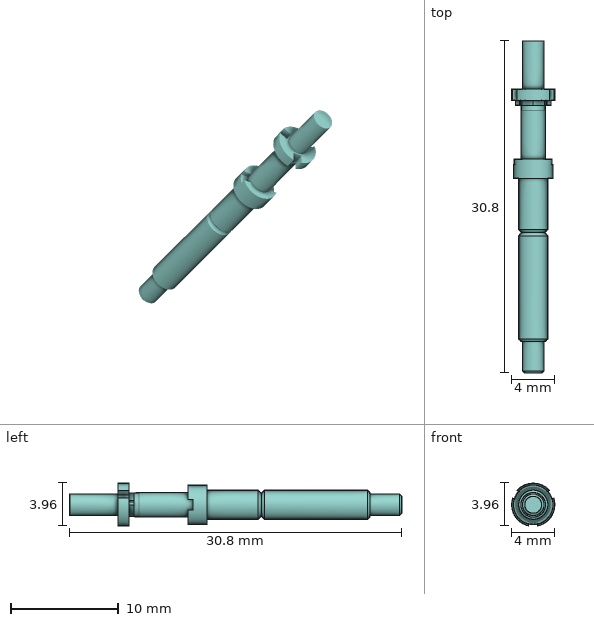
import cadquery as cq

length = 30.8
rod_radius = 2.0 / 2
tip_chamfer = 0.22

flange_rear = 4.47
flange_front = 5.5
flange_radius = 4.0 / 2
slot_width = 0.83
slot_floor = 1.1
slot_angles = (30, 150, 270)

boss_front = 5.98
boss_half_width = 1.65
boss_half_height = 1.1
boss_core_radius = 0.85

neck_front = 6.45
neck_radius = 1.1
shank_radius = 1.15

collar_rear = 10.95
collar_front = 12.75
collar_radius = 3.65 / 2
collar_notch_height = 1.02
collar_notch_depth = 0.5

barrel_front = 27.85
barrel_chamfer = 0.22
barrel_radius = 2.7 / 2
groove_center = 17.77
groove_width = 0.6
groove_depth = 0.28


def y_at(station):
    return length / 2 - station


def point(radius, station):
    """Profile point on the XY plane."""
    return (radius, y_at(station))


def section_at(station):
    """Cross-section plane with local X, Y along X, Z; extrusion runs toward -Y."""
    return cq.Workplane("XZ", origin=(0, y_at(station), 0))


def make_turned_body():
    """All round steps from the rear rod to the chamfered tip."""
    profile = (
        cq.Workplane("XY")
        .moveTo(*point(0, 0))
        .lineTo(*point(rod_radius, 0))
        .lineTo(*point(rod_radius, flange_front))
        .lineTo(*point(boss_core_radius, flange_front))
        .lineTo(*point(boss_core_radius, boss_front))
        .lineTo(*point(neck_radius, boss_front))
        .lineTo(*point(shank_radius, neck_front))
        .lineTo(*point(shank_radius, collar_rear))
        .lineTo(*point(collar_radius, collar_rear))
        .lineTo(*point(collar_radius, collar_front))
        .lineTo(*point(barrel_radius, collar_front))
        .lineTo(*point(barrel_radius, groove_center - groove_width / 2))
        .lineTo(*point(barrel_radius - groove_depth, groove_center))
        .lineTo(*point(barrel_radius, groove_center + groove_width / 2))
        .lineTo(*point(barrel_radius, barrel_front - barrel_chamfer))
        .lineTo(*point(barrel_radius - barrel_chamfer, barrel_front))
        .lineTo(*point(rod_radius, barrel_front))
        .lineTo(*point(rod_radius, length - tip_chamfer))
        .lineTo(*point(rod_radius - tip_chamfer, length))
        .lineTo(*point(0, length))
        .close()
    )
    return profile.revolve(360, (0, 0, 0), (0, 1, 0))


def make_slotted_head():
    """Round flange and rhombic boss, both cut by the radial slots."""
    flange = section_at(flange_rear).circle(flange_radius).extrude(flange_front - flange_rear)
    rhombus = section_at(flange_front).polyline([
        (boss_half_width, 0),
        (0, boss_half_height),
        (-boss_half_width, 0),
        (0, -boss_half_height),
    ]).close()
    head = flange.union(rhombus.extrude(boss_front - flange_front))

    slot_length = flange_radius - slot_floor
    for angle in slot_angles:
        slot = (
            section_at(flange_rear)
            .transformed(rotate=(0, 0, angle))
            .center(slot_floor + slot_length / 2, 0)
            .rect(slot_length, slot_width)
            .extrude(boss_front - flange_rear)
        )
        head = head.cut(slot)
    return head


def make_collar_notches():
    """Cutter for the notches on the -X and +X sides of the collar's rear face."""
    bar = section_at(collar_rear).rect(2 * collar_radius, collar_notch_height)
    shank = section_at(collar_rear).circle(shank_radius)
    return bar.extrude(collar_notch_depth).cut(shank.extrude(collar_notch_depth))


result = make_turned_body().cut(make_collar_notches()).union(make_slotted_head())